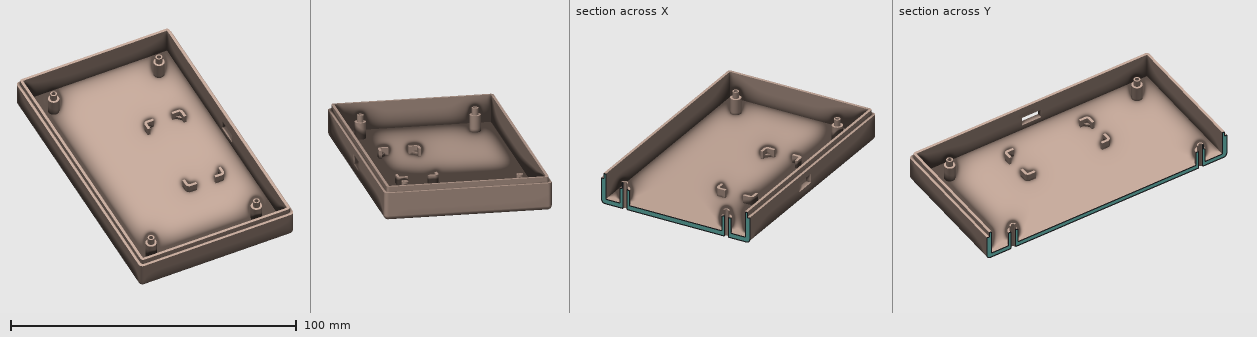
import cadquery as cq

length = 100.0
width = 60.0
height = 12.0
wall = 2.0
floor = 2.0
corner_radius = 1.5
bottom_radius = 1.5

lip_inset = 1.0
lip_height = 2.0
lip_radius = 1.0

post_x = 39.0
post_y = 20.5
post_diameter = 4.0
post_top = 8.0
pin_diameter = 2.4
pin_top = 10.5
hole_diameter = 1.5

bracket_center_y = 11.4
bracket_span_x = 35.4
bracket_span_y = 15.0
bracket_leg = 3.9
bracket_thickness = 1.0
bracket_top = 5.0
bracket_radius = 1.5
bracket_inner_radius = bracket_radius - bracket_thickness
ledge_leg = 1.6
ledge_top = 3.0

slot_length = 8.0
slot_bottom = 4.0
slot_height = 3.5


def block(size_x, size_y, bottom, top):
    """Box centred on the Z axis between two heights."""
    return cq.Workplane("XY").workplane(offset=bottom).rect(size_x, size_y).extrude(top - bottom)


def make_tray():
    body = block(length, width, 0, height - lip_height)
    body = body.edges("|Z").fillet(corner_radius)
    body = body.faces("<Z").edges().fillet(bottom_radius)
    lip = block(length - 2 * lip_inset, width - 2 * lip_inset, floor, height)
    lip = lip.edges("|Z").fillet(lip_radius)
    cavity = block(length - 2 * wall, width - 2 * wall, floor, height)
    return body.union(lip).cut(cavity)


def post_cylinders(diameter, top):
    """Four cylinders rising from the underside (Z = 0) at the post positions."""
    points = cq.Workplane("XY").rect(2 * post_x, 2 * post_y, forConstruction=True).vertices()
    return points.circle(diameter / 2).extrude(top)


def make_bracket():
    """L-shaped bracket with its outer corner on the Z axis and legs along +X and +Y."""
    inner_leg = bracket_leg - bracket_thickness
    start = cq.Workplane("XY").workplane(offset=floor)
    bracket = start.rect(bracket_leg, bracket_leg, centered=False).extrude(bracket_top - floor)
    bracket = bracket.edges("|Z and <X and <Y").fillet(bracket_radius)
    pocket = (
        start.center(bracket_thickness, bracket_thickness)
        .rect(inner_leg, inner_leg, centered=False)
        .extrude(bracket_top - floor)
        .edges("|Z and <X and <Y")
        .fillet(bracket_inner_radius)
    )
    ledge = (
        start.center(bracket_thickness, bracket_thickness)
        .polyline([(0, 0), (ledge_leg, 0), (0, ledge_leg)])
        .close()
        .extrude(ledge_top - floor)
    )
    return bracket.cut(pocket).union(ledge)


def make_brackets():
    first = make_bracket().translate((-bracket_span_x / 2, -bracket_span_y / 2, 0))
    pair = first.union(first.mirror("YZ"))
    return pair.union(pair.mirror("XZ")).translate((0, bracket_center_y, 0))


def make_slot():
    """Cutter for the opening, long enough to pass through the whole wall."""
    cutter = block(slot_length, 2 * wall, slot_bottom, slot_bottom + slot_height)
    return cutter.translate((0, width / 2 - wall / 2, 0))


result = make_tray().union(make_brackets()).cut(make_slot())
result = result.union(post_cylinders(post_diameter, post_top))
result = result.union(post_cylinders(pin_diameter, pin_top))
result = result.cut(post_cylinders(hole_diameter, height))